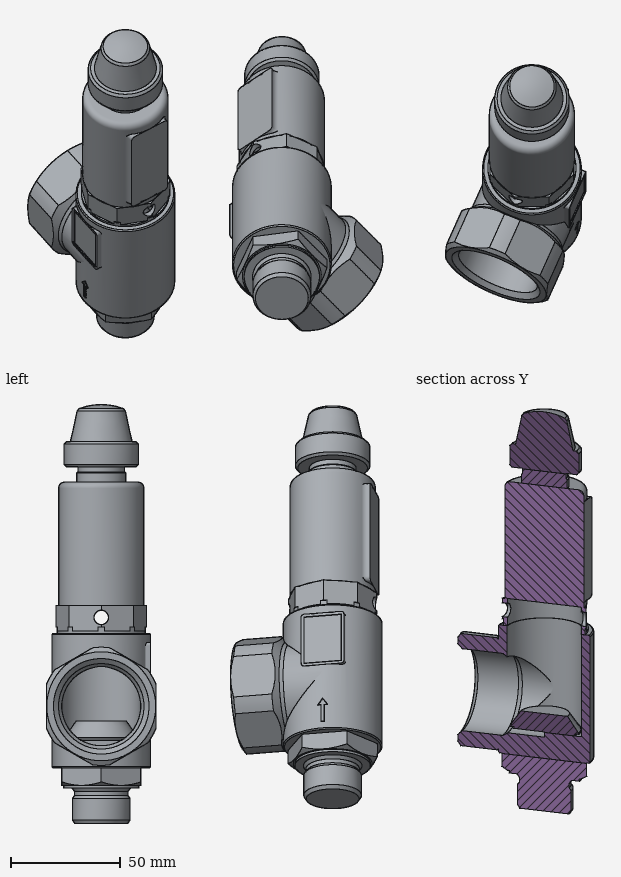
import cadquery as cq
import math

THREAD_R = 13.2
THREAD_TOP = 11.5
THREAD_CHAMFER = 1.1
THREAD_CHAMFER_H = 1.7
RELIEF_R = 12.2
RELIEF_BOTTOM = 12.8
RELIEF_TOP = 14.7
COLLAR_ROOT_R = 13.4
COLLAR_R = 17.2
COLLAR_BOTTOM = 16.2
COLLAR_TOP = 17.4
INLET_HEX_ACROSS_FLATS = 36.1
INLET_HEX_TOP = 25.4
INLET_BEVEL_R = 18.0
INLET_BEVEL_ANGLE = 30.0

HOUSING_R = 22.5
HOUSING_BOTTOM = INLET_HEX_TOP
HOUSING_TOP = 86.7
HOUSING_CHAMFER = 0.5
CAVITY_R = 18.1
CAVITY_FLOOR = 37.8

OUTLET_Z = 53.5
OUTLET_FACE_X = -42.4
OUTLET_HEX_ACROSS_FLATS = 50.0
OUTLET_HEX_CORNER_R = 27.0
OUTLET_BEVEL_R = 24.8
OUTLET_BEVEL_L = 1.5
OUTLET_HEX_END_X = -23.1
OUTLET_NECK_R = 23.3
OUTLET_NECK_X = -20.0
OUTLET_BLEND_END_X = -18.3
OUTLET_MOUTH_R = 21.8
OUTLET_THREAD_R = 19.5
OUTLET_THREAD_END_X = -20.2
OUTLET_BORE_START_X = -17.8
OUTLET_BORE_R = 18.0

PLAQUE_W = 20.0
PLAQUE_BOTTOM = 57.1
PLAQUE_TOP = 82.5
PLAQUE_CORNER_R = 1.5
PLAQUE_RIM = 1.3
PLAQUE_ROOT_R = 0.5
PLAQUE_RECESS = 0.5

ARROW_BOTTOM = 29.2
ARROW_HEAD_Z = 37.5
ARROW_TIP = 40.5
ARROW_SHAFT_HALF_W = 0.8
ARROW_HEAD_HALF_W = 2.3
ARROW_DEPTH = 0.4

DISC_FOOT_R = 15.0
DISC_RIM_R = 16.8
DISC_RIM_BOTTOM = 38.5
DISC_RIM_TOP = 39.3
DISC_TOP_R = 11.5
DISC_TOP = 46.8

BONNET_SPIGOT_R = 20.0
BONNET_FLAT_BOTTOM = 87.9
BONNET_CORNER_BOTTOM = 89.5
OCTAGON_CORNER_R = 20.6
OCTAGON_TOP = 99.5
BONNET_R = 19.5
BONNET_TOP = 155.7
BONNET_EDGE_R = 2.9
CHAMBER_R = 18.0
CHAMBER_TOP = OCTAGON_TOP
VENT_R = 3.2
VENT_Z = 94.0

LABEL_W = 19.9
LABEL_BOTTOM = 102.0
LABEL_TOP = 150.1
LABEL_CORNER_R = 2.0
LABEL_ROOT_R = 2.9

SCREW_R = 11.3
SCREW_SHOULDER_Z = 159.7
SCREW_END_R = 10.7
SCREW_END_Z = 160.2

CAP_BOTTOM = 162.5
CAP_R = 17.0
CAP_CHAMFER = 1.1
CAP_RIM_TOP = 174.0
CAP_CONE_BASE_R = 14.1
CAP_CONE_TOP_R = 11.0
CAP_CONE_TOP = 188.0
CAP_DOME_R = 10.1
CAP_DOME_BOTTOM = 189.0
CAP_TOP = 191.0


def turned(points):
    """Solid of revolution about Z from (radius, z) points, closed along the axis."""
    bottom = points[0][1]
    top = points[-1][1]
    outline = [(0, bottom), *points, (0, top)]
    return cq.Workplane("XZ").polyline(outline).close().revolve(360, (0, 0, 0), (0, 1, 0))


def turned_outlet(points):
    """Solid of revolution about the outlet axis from (x, radius) points."""
    outline = [(points[0][0], 0), *points, (points[-1][0], 0)]
    profile = cq.Workplane("XZ", origin=(0, 0, OUTLET_Z)).polyline(outline).close()
    return profile.revolve(360, (0, 0, 0), (1, 0, 0))


def cylinder(radius, bottom, top):
    return cq.Workplane("XY").workplane(offset=bottom).circle(radius).extrude(top - bottom)


def rounded_block(plane, mid_z, width, height, corner_r, depth):
    """Block with four rounded corners, reaching outwards from the Z axis."""
    section = cq.Sketch().rect(width, height).vertices().fillet(corner_r)
    return cq.Workplane(plane, origin=(0, 0, mid_z)).placeSketch(section).extrude(depth)


def raised_plate(plane, width, bottom, top, corner_r, root_r, barrel_r):
    """Flat plate level with the outermost line of a barrel, with a filleted root.

    The fillet touches both the side wall and the barrel. It is made on a flat
    bed inside the barrel, then trimmed to where it touches the barrel.
    """
    mid_z = (top + bottom) / 2
    height = top - bottom
    fillet_centre = width / 2 + root_r
    wall_foot = math.sqrt((barrel_r + root_r) ** 2 - fillet_centre ** 2)
    reach = fillet_centre * barrel_r / (barrel_r + root_r) - width / 2

    bed_level = wall_foot - root_r
    bed_margin = 4 * root_r
    bed = (
        cq.Workplane(plane, origin=(0, 0, mid_z))
        .rect(width + bed_margin, height + bed_margin)
        .extrude(bed_level)
    )
    plate = rounded_block(plane, mid_z, width, height, corner_r, barrel_r)

    half_w = (width + root_r) / 2
    half_h = (height + root_r) / 2
    half_t = root_r / 2
    axes = cq.Plane.named(plane)
    low = axes.toWorldCoords((-half_w, mid_z - half_h, bed_level - half_t))
    high = axes.toWorldCoords((half_w, mid_z + half_h, bed_level + half_t))
    root_edges = cq.selectors.BoxSelector(low.toTuple(), high.toTuple(), boundingbox=True)
    blended = bed.union(plate).edges(root_edges).fillet(root_r)
    limit = rounded_block(
        plane, mid_z, width + 2 * reach, height + 2 * reach, corner_r + reach, barrel_r
    )
    return blended.intersect(limit)


def make_inlet():
    stem = turned([
        (THREAD_R - THREAD_CHAMFER, 0),
        (THREAD_R, THREAD_CHAMFER_H),
        (THREAD_R, THREAD_TOP),
        (RELIEF_R, RELIEF_BOTTOM),
        (RELIEF_R, RELIEF_TOP),
        (COLLAR_ROOT_R, COLLAR_BOTTOM),
        (COLLAR_R, COLLAR_BOTTOM),
        (COLLAR_R, COLLAR_TOP),
    ])
    corner_r = INLET_HEX_ACROSS_FLATS / 2 / math.cos(math.pi / 6)
    height = INLET_HEX_TOP - COLLAR_TOP
    hexagon = cq.Workplane("XY").workplane(offset=COLLAR_TOP).polygon(6, 2 * corner_r).extrude(height)
    bevel_h = (corner_r - INLET_BEVEL_R) * math.tan(math.radians(INLET_BEVEL_ANGLE))
    bevel = turned([
        (INLET_BEVEL_R, COLLAR_TOP),
        (corner_r, COLLAR_TOP + bevel_h),
        (corner_r, INLET_HEX_TOP),
    ])
    return stem.union(hexagon.intersect(bevel))


def outlet_hexagon():
    """Hexagon with flats facing +Y and -Y, rounded corners and a bevelled end at each side."""
    across_corners = OUTLET_HEX_ACROSS_FLATS / math.cos(math.pi / 6)
    length = OUTLET_NECK_X - OUTLET_FACE_X
    hexagon = (
        cq.Workplane("YZ", origin=(OUTLET_FACE_X, 0, OUTLET_Z))
        .transformed(rotate=(0, 0, 30))
        .polygon(6, across_corners)
        .extrude(length)
    )
    envelope = turned_outlet([
        (OUTLET_FACE_X, OUTLET_BEVEL_R),
        (OUTLET_FACE_X + OUTLET_BEVEL_L, OUTLET_HEX_CORNER_R),
        (OUTLET_HEX_END_X, OUTLET_HEX_CORNER_R),
        (OUTLET_NECK_X, OUTLET_NECK_R),
    ])
    return hexagon.intersect(envelope)


def outlet_branch():
    """Blend from the hexagon to a branch pipe as wide as the housing."""
    return turned_outlet([
        (OUTLET_NECK_X, OUTLET_NECK_R),
        (OUTLET_BLEND_END_X, HOUSING_R),
        (0, HOUSING_R),
    ])


def outlet_bore():
    return turned_outlet([
        (OUTLET_FACE_X, OUTLET_MOUTH_R),
        (OUTLET_FACE_X + OUTLET_MOUTH_R - OUTLET_THREAD_R, OUTLET_THREAD_R),
        (OUTLET_THREAD_END_X, OUTLET_THREAD_R),
        (OUTLET_BORE_START_X, OUTLET_BORE_R),
        (0, OUTLET_BORE_R),
    ])


def plaque_recess():
    height = PLAQUE_TOP - PLAQUE_BOTTOM - 2 * PLAQUE_RIM
    return (
        cq.Workplane("XZ", origin=(0, 0, (PLAQUE_TOP + PLAQUE_BOTTOM) / 2))
        .workplane(offset=HOUSING_R - PLAQUE_RECESS)
        .rect(PLAQUE_W - 2 * PLAQUE_RIM, height)
        .extrude(PLAQUE_RECESS)
    )


def flow_arrow():
    outline = [
        (-ARROW_SHAFT_HALF_W, ARROW_BOTTOM),
        (ARROW_SHAFT_HALF_W, ARROW_BOTTOM),
        (ARROW_SHAFT_HALF_W, ARROW_HEAD_Z),
        (ARROW_HEAD_HALF_W, ARROW_HEAD_Z),
        (0, ARROW_TIP),
        (-ARROW_HEAD_HALF_W, ARROW_HEAD_Z),
        (-ARROW_SHAFT_HALF_W, ARROW_HEAD_Z),
    ]
    prism = cq.Workplane("XZ").polyline(outline).close().extrude(HOUSING_R)
    return prism.cut(cylinder(HOUSING_R - ARROW_DEPTH, ARROW_BOTTOM, ARROW_TIP))


def make_housing():
    barrel = cylinder(HOUSING_R, HOUSING_BOTTOM, HOUSING_TOP)
    barrel = barrel.faces("<Z or >Z").edges().chamfer(HOUSING_CHAMFER)
    plaque = raised_plate(
        "XZ", PLAQUE_W, PLAQUE_BOTTOM, PLAQUE_TOP, PLAQUE_CORNER_R, PLAQUE_ROOT_R, HOUSING_R
    )
    body = barrel.union(outlet_branch()).union(outlet_hexagon()).union(plaque)
    body = body.cut(plaque_recess()).cut(flow_arrow())
    cavity = cylinder(CAVITY_R, CAVITY_FLOOR, HOUSING_TOP)
    return body.cut(cavity).cut(outlet_bore())


def make_disc():
    return turned([
        (DISC_FOOT_R, CAVITY_FLOOR),
        (DISC_FOOT_R, DISC_RIM_BOTTOM),
        (DISC_RIM_R, DISC_RIM_BOTTOM),
        (DISC_RIM_R, DISC_RIM_TOP),
        (DISC_TOP_R, DISC_TOP),
    ])


def make_bonnet():
    octagon = (
        cq.Workplane("XY").workplane(offset=BONNET_FLAT_BOTTOM)
        .polygon(8, 2 * OCTAGON_CORNER_R)
        .extrude(OCTAGON_TOP - BONNET_FLAT_BOTTOM)
    )
    corner_limit = turned([
        (BONNET_SPIGOT_R, BONNET_FLAT_BOTTOM),
        (BONNET_SPIGOT_R, BONNET_CORNER_BOTTOM),
        (OCTAGON_CORNER_R, BONNET_CORNER_BOTTOM),
        (OCTAGON_CORNER_R, OCTAGON_TOP),
    ])
    spigot = cylinder(BONNET_SPIGOT_R, HOUSING_TOP, BONNET_FLAT_BOTTOM)
    barrel = cylinder(BONNET_R, OCTAGON_TOP, BONNET_TOP).faces(">Z").edges().fillet(BONNET_EDGE_R)
    vent = (
        cq.Workplane("YZ", origin=(-OCTAGON_CORNER_R, 0, VENT_Z))
        .circle(VENT_R)
        .extrude(2 * OCTAGON_CORNER_R)
    )
    chamber = cylinder(CHAMBER_R, HOUSING_TOP, CHAMBER_TOP)
    foot = octagon.intersect(corner_limit).union(spigot).cut(chamber).cut(vent)
    label = raised_plate("YZ", LABEL_W, LABEL_BOTTOM, LABEL_TOP, LABEL_CORNER_R, LABEL_ROOT_R, BONNET_R)
    return foot.union(barrel).union(label)


def make_adjusting_screw():
    return turned([
        (SCREW_R, BONNET_TOP),
        (SCREW_R, SCREW_SHOULDER_Z),
        (SCREW_END_R, SCREW_END_Z),
        (SCREW_END_R, CAP_BOTTOM),
    ])


def make_cap():
    dome_r = (CAP_DOME_R ** 2 + (CAP_TOP - CAP_DOME_BOTTOM) ** 2) / (2 * (CAP_TOP - CAP_DOME_BOTTOM))
    half_angle = math.asin(CAP_DOME_R / dome_r) / 2
    dome_middle = (dome_r * math.sin(half_angle), CAP_TOP - dome_r * (1 - math.cos(half_angle)))
    profile = (
        cq.Workplane("XZ")
        .moveTo(0, CAP_BOTTOM)
        .lineTo(CAP_R - CAP_CHAMFER, CAP_BOTTOM)
        .lineTo(CAP_R, CAP_BOTTOM + CAP_CHAMFER)
        .lineTo(CAP_R, CAP_RIM_TOP - CAP_CHAMFER)
        .lineTo(CAP_R - CAP_CHAMFER, CAP_RIM_TOP)
        .lineTo(CAP_CONE_BASE_R, CAP_RIM_TOP)
        .lineTo(CAP_CONE_TOP_R, CAP_CONE_TOP)
        .lineTo(CAP_DOME_R, CAP_DOME_BOTTOM)
        .threePointArc(dome_middle, (0, CAP_TOP))
        .close()
    )
    return profile.revolve(360, (0, 0, 0), (0, 1, 0))


inlet = make_inlet()
housing = make_housing()
disc = make_disc()
bonnet = make_bonnet()
adjusting_screw = make_adjusting_screw()
cap = make_cap()

result = cq.Compound.makeCompound([
    inlet.val(),
    housing.val(),
    disc.val(),
    bonnet.val(),
    adjusting_screw.val(),
    cap.val(),
])